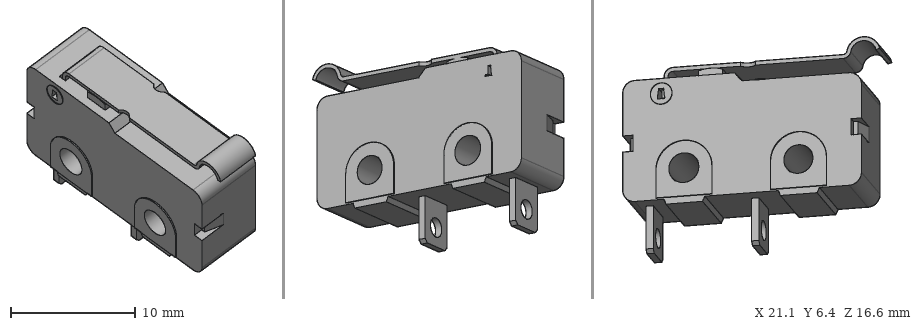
import cadquery as cq
import math


overall_length = 21.12
overall_height = 16.6
overall_width = 6.4

case_length = 19.8
case_height = 10.2
low_height = 9.48
step_start = 9.3
step_end = 9.97
corner_radius = 1.01
pad_thickness = 0.13
case_width = overall_width - 2 * pad_thickness
front_y = -case_width / 2

hole_height = 2.5
left_hole_x = 5.11
hole_spacing = 9.5
left_hole_diameter = 2.5
right_hole_diameter = 2.4
pad_width = 4.65
pad_bottom = 0.13
foot_top_width = 3.42
foot_bottom_width = 3.05
foot_height = 0.42

notch_bottom = 4.25
notch_height = 1.35
notch_depth = 0.85
notch_width = 0.82
ramp_depth = 0.5
ramp_width = 1.63

badge_x = 3.2
badge_z = 8.91
badge_diameter = 1.8
badge_thickness = 0.06
window_bottom = 8.47
window_top = 9.34
window_bottom_left = 2.9
window_bottom_right = 3.5
window_top_left = 3.0
window_top_right = 3.4
ledge_left = 3.23
ledge_bottom = 8.62
ledge_depth = 0.21

terminal_positions = (1.85, 10.62)
terminal_thickness = 0.61
terminal_width = 3.17
terminal_length = 3.9
terminal_chamfer = 0.32
terminal_hole_diameter = 1.6
terminal_hole_drop = 2.28

strip = 0.34
lever_front = -2.25
lever_back = 1.75
lever_width = lever_back - lever_front
leg_x = 3.23
lever_top = 11.32
leg_bend_radius = 0.74
hook_bend_x = 18.1
hook_bend_radius = 0.3
hook_radius = 1.4
relief_x = 10.2
relief_radius = 0.72
relief_depth = 0.34
slot_start = 2.9
slot_back = 1.82
slot_depth = 0.63
plunger_start = 6.08
plunger_length = 2.03
plunger_front = -2.3
plunger_back = lever_back
plunger_dome = 0.17
plunger_overlap = 0.02


def extrude_y(profile, y_start, y_end):
    """Extrude an XZ profile between two Y positions."""
    return profile.extrude(y_start - y_end).translate((0, y_start, 0))


def xz():
    return cq.Workplane("XZ")


def box(x_start, x_end, y_start, y_end, z_start, z_end):
    size = (x_end - x_start, y_end - y_start, z_end - z_start)
    return cq.Workplane("XY").box(*size, centered=False).translate((x_start, y_start, z_start))


def make_case():
    profile = xz().polyline([
        (0, 0),
        (case_length, 0),
        (case_length, low_height),
        (step_end, low_height),
        (step_start, case_height),
        (0, case_height),
    ]).close()
    case = extrude_y(profile, front_y, -front_y)
    return case.edges("|Y").edges("<X or >X").fillet(corner_radius)


def make_pad_and_foot(hole_x):
    half = pad_width / 2
    pad = (
        xz()
        .moveTo(hole_x - half, pad_bottom)
        .lineTo(hole_x + half, pad_bottom)
        .lineTo(hole_x + half, hole_height)
        .threePointArc((hole_x, hole_height + half), (hole_x - half, hole_height))
        .close()
    )
    foot = xz().polyline([
        (hole_x - foot_top_width / 2, 0),
        (hole_x - foot_bottom_width / 2, -foot_height),
        (hole_x + foot_bottom_width / 2, -foot_height),
        (hole_x + foot_top_width / 2, 0),
    ]).close()
    pads = extrude_y(pad, -overall_width / 2, overall_width / 2)
    return pads.union(extrude_y(foot, front_y, -front_y))


def make_mounting_hole(hole_x, diameter):
    circle = xz().center(hole_x, hole_height).circle(diameter / 2)
    return extrude_y(circle, -overall_width / 2, overall_width / 2)


def make_end_notch():
    """Corner notch at the left end, running out in a ramp toward +Y."""
    notch_y = front_y + notch_width
    return (
        cq.Workplane("XY", origin=(0, 0, notch_bottom))
        .polyline([
            (0, front_y),
            (notch_depth, front_y),
            (notch_depth, notch_y),
            (ramp_depth, notch_y),
            (0, notch_y + ramp_width),
        ])
        .close()
        .extrude(notch_height)
    )


def make_badge():
    disc = xz().center(badge_x, badge_z).circle(badge_diameter / 2)
    return extrude_y(disc, front_y - badge_thickness, front_y)


def make_window():
    opening = xz().polyline([
        (window_bottom_left, window_bottom),
        (window_bottom_right, window_bottom),
        (window_top_right, window_top),
        (window_top_left, window_top),
    ]).close()
    ledge_y = front_y + ledge_depth
    ledge = box(ledge_left, window_bottom_right, ledge_y, -front_y, ledge_bottom, window_top)
    return extrude_y(opening, front_y - badge_thickness, -front_y).cut(ledge)


def make_terminal(x_middle):
    blade = (
        box(0, terminal_thickness, -terminal_width / 2, terminal_width / 2, -terminal_length, 0)
        .edges("|X and <Z")
        .chamfer(terminal_chamfer)
    )
    hole = (
        cq.Workplane("YZ")
        .center(0, -terminal_hole_drop)
        .circle(terminal_hole_diameter / 2)
        .extrude(terminal_thickness)
    )
    return blade.cut(hole).translate((x_middle - terminal_thickness / 2, 0, 0))


def point_at(center, radius, angle):
    return (center[0] + radius * math.cos(angle), center[1] + radius * math.sin(angle))


def make_lever():
    bend_outer = hook_bend_radius + strip
    hook_inner = hook_radius - strip
    bend_center = (hook_bend_x, lever_top + hook_bend_radius)
    hook_z = overall_height - terminal_length - hook_radius
    rise = bend_center[1] - hook_z
    run = math.sqrt((hook_bend_radius + hook_radius) ** 2 - rise ** 2)
    hook_center = (hook_bend_x + run, hook_z)
    turn = -math.atan2(rise, run)
    turn_middle = (turn - math.pi / 2) / 2
    tip = math.acos((overall_length - hook_center[0]) / hook_radius)

    leg_bottom = case_height - slot_depth
    leg_center = (leg_x + leg_bend_radius, lever_top - leg_bend_radius)
    leg_inner = leg_bend_radius - strip
    leg_middle = 3 * math.pi / 4
    top_middle = math.pi / 2

    profile = (
        xz()
        .moveTo(leg_x, leg_bottom)
        .lineTo(leg_x, leg_center[1])
        .threePointArc(point_at(leg_center, leg_bend_radius, leg_middle), (leg_center[0], lever_top))
        .lineTo(hook_bend_x, lever_top)
        .threePointArc(point_at(bend_center, hook_bend_radius, turn_middle),
                       point_at(bend_center, hook_bend_radius, turn))
        .threePointArc(point_at(hook_center, hook_radius, top_middle),
                       point_at(hook_center, hook_radius, tip))
        .lineTo(*point_at(hook_center, hook_inner, tip))
        .threePointArc(point_at(hook_center, hook_inner, top_middle),
                       point_at(bend_center, bend_outer, turn))
        .threePointArc(point_at(bend_center, bend_outer, turn_middle),
                       (hook_bend_x, lever_top - strip))
        .lineTo(leg_center[0], lever_top - strip)
        .threePointArc(point_at(leg_center, leg_inner, leg_middle), (leg_x + strip, leg_center[1]))
        .lineTo(leg_x + strip, leg_bottom)
        .close()
    )
    lever = extrude_y(profile, lever_front, lever_back)

    relief_offset = lever_width / 2 + relief_radius - relief_depth
    lever_middle = (lever_front + lever_back) / 2
    for side in (-1, 1):
        relief = (
            cq.Workplane("XY", origin=(relief_x, lever_middle + side * relief_offset, lever_top - strip))
            .circle(relief_radius)
            .extrude(strip)
        )
        lever = lever.cut(relief)
    return lever


def make_plunger():
    plunger_end = plunger_start + plunger_length
    plunger_middle = plunger_start + plunger_length / 2
    plunger_top = lever_top - strip + plunger_overlap
    shoulder = plunger_top - plunger_dome
    profile = (
        xz()
        .moveTo(plunger_start, case_height)
        .lineTo(plunger_start, shoulder)
        .threePointArc((plunger_middle, plunger_top), (plunger_end, shoulder))
        .lineTo(plunger_end, case_height)
        .close()
    )
    return extrude_y(profile, plunger_front, plunger_back)


result = make_case()

for hole_x, diameter in (
    (left_hole_x, left_hole_diameter),
    (left_hole_x + hole_spacing, right_hole_diameter),
):
    result = result.union(make_pad_and_foot(hole_x)).cut(make_mounting_hole(hole_x, diameter))

left_notch = make_end_notch()
right_notch = left_notch.mirror("YZ").translate((case_length, 0, 0))
result = result.cut(left_notch).cut(right_notch)

result = result.union(make_badge()).cut(make_window())

for x_middle in terminal_positions:
    result = result.union(make_terminal(x_middle))

lever_slot = box(slot_start, leg_x + strip, lever_front, slot_back, case_height - slot_depth, case_height)
result = result.cut(lever_slot).union(make_lever()).union(make_plunger())